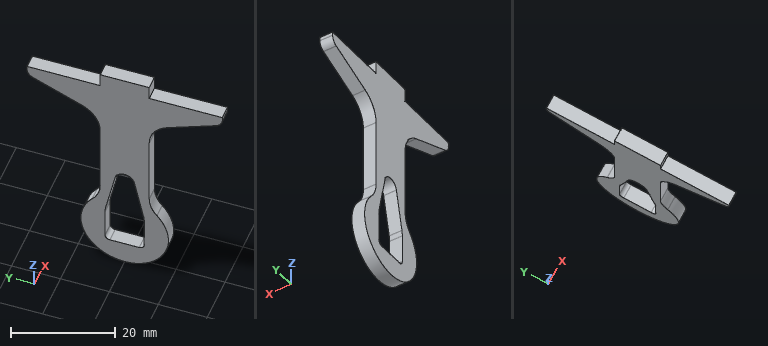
import cadquery as cq
import math

thickness = 3.0
height = 49.9
span = 40.0

stem_width = 10.1
tab_height = 3.0
shoulder_z = height - tab_height
arm_tip_depth = 2.2
arm_root_depth = 8.35
arm_tip_radius = 2.0
arm_root_radius = 6.0

ring_radius = 9.0
neck_radius = 6.0

window_width = 8.0
window_bottom_z = 5.0
window_taper_z = 13.1
window_top_z = 24.05
window_top_radius = 2.0
window_corner_radius = 1.0
window_taper_radius = 6.0


def extrude_from_center(sketch):
    return sketch.extrude(thickness / 2, both=True)


def round_corners(body, half_width, z, radius):
    """Fillet the mirrored pair of edges along X at the given height."""
    for y in (-half_width, half_width):
        body = body.edges(cq.selectors.NearestToPointSelector((0, y, z))).fillet(radius)
    return body


def make_tee():
    """Stem with the tab and the two tapered arms, down to the ring center."""
    half_stem = stem_width / 2
    half_span = span / 2
    right_side = [
        (half_stem, height),
        (half_stem, shoulder_z),
        (half_span, shoulder_z),
        (half_span, shoulder_z - arm_tip_depth),
        (half_stem, shoulder_z - arm_root_depth),
        (half_stem, ring_radius),
    ]
    left_side = [(-y, z) for y, z in reversed(right_side)]
    tee = extrude_from_center(cq.Workplane("YZ").polyline(right_side + left_side).close())

    tee = round_corners(tee, half_span, shoulder_z - arm_tip_depth, arm_tip_radius)
    return round_corners(tee, half_stem, shoulder_z - arm_root_depth, arm_root_radius)


def make_round_end():
    """Disc with concave neck arcs that run tangent into the stem."""
    half_stem = stem_width / 2
    neck_center_y = half_stem + neck_radius
    center_distance = ring_radius + neck_radius
    neck_rise = math.sqrt(center_distance**2 - neck_center_y**2)
    neck_center_z = ring_radius + neck_rise
    touch_y = neck_center_y * ring_radius / center_distance
    touch_z = ring_radius + neck_rise * ring_radius / center_distance
    mid_angle = math.atan2(neck_rise, neck_center_y) / 2
    mid_y = neck_center_y - neck_radius * math.cos(mid_angle)
    mid_z = neck_center_z - neck_radius * math.sin(mid_angle)
    outline = (
        cq.Workplane("YZ")
        .moveTo(-half_stem, neck_center_z)
        .lineTo(half_stem, neck_center_z)
        .threePointArc((mid_y, mid_z), (touch_y, touch_z))
        .threePointArc((0, 0), (-touch_y, touch_z))
        .threePointArc((-mid_y, mid_z), (-half_stem, neck_center_z))
        .close()
    )
    return extrude_from_center(outline)


def make_window():
    """Window with straight lower sides, tapered upper sides and a round top."""
    half_width = window_width / 2
    arc_center_z = window_top_z - window_top_radius
    rise = arc_center_z - window_taper_z
    corner_distance = math.hypot(half_width, rise)
    tangent_angle = math.acos(window_top_radius / corner_distance) - math.atan2(rise, half_width)
    tangent_y = window_top_radius * math.cos(tangent_angle)
    tangent_z = arc_center_z + window_top_radius * math.sin(tangent_angle)
    outline = (
        cq.Workplane("YZ")
        .moveTo(-half_width, window_bottom_z)
        .lineTo(half_width, window_bottom_z)
        .lineTo(half_width, window_taper_z)
        .lineTo(tangent_y, tangent_z)
        .threePointArc((0, window_top_z), (-tangent_y, tangent_z))
        .lineTo(-half_width, window_taper_z)
        .close()
    )
    window = extrude_from_center(outline)
    window = window.faces("<Z").edges("|X").fillet(window_corner_radius)
    return round_corners(window, half_width, window_taper_z, window_taper_radius)


result = make_tee().union(make_round_end()).cut(make_window())